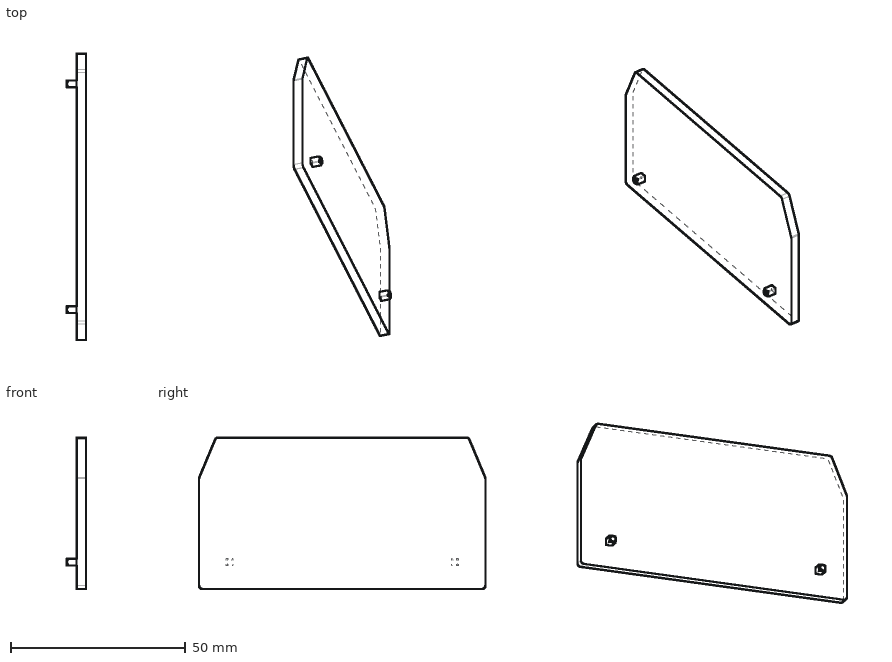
import cadquery as cq

plate_width = 82.2
plate_height = 43.5
plate_thickness = 2.7
corner_radius = 1.0

shoulder_inset = 4.85
shoulder_drop = 11.6

pin_length = 3.0
pin_size = 2.0
pin_edge_radius = 0.2
pin_tip_radius = 0.8
pin_spacing = 64.8
pin_height = 7.7


def make_plate():
    half_width = plate_width / 2
    half_top = half_width - shoulder_inset
    shoulder_z = plate_height - shoulder_drop
    outline = [
        (-half_width, 0),
        (half_width, 0),
        (half_width, shoulder_z),
        (half_top, plate_height),
        (-half_top, plate_height),
        (-half_width, shoulder_z),
    ]
    plate = cq.Workplane("YZ").polyline(outline).close().extrude(plate_thickness)
    return plate.edges("|X").fillet(corner_radius)


def make_pin(y):
    """Square pin with rounded long edges and a 45 degree conical tip."""
    pin = (
        cq.Workplane("YZ")
        .center(y, pin_height)
        .rect(pin_size, pin_size)
        .extrude(-pin_length)
        .edges("|X")
        .fillet(pin_edge_radius)
    )
    tip_cone = (
        cq.Workplane("YZ")
        .center(y, pin_height)
        .circle(pin_tip_radius + pin_length)
        .workplane(offset=-pin_length)
        .circle(pin_tip_radius)
        .loft()
    )
    return pin.intersect(tip_cone)


result = make_plate()
for side in (-1, 1):
    result = result.union(make_pin(side * pin_spacing / 2))